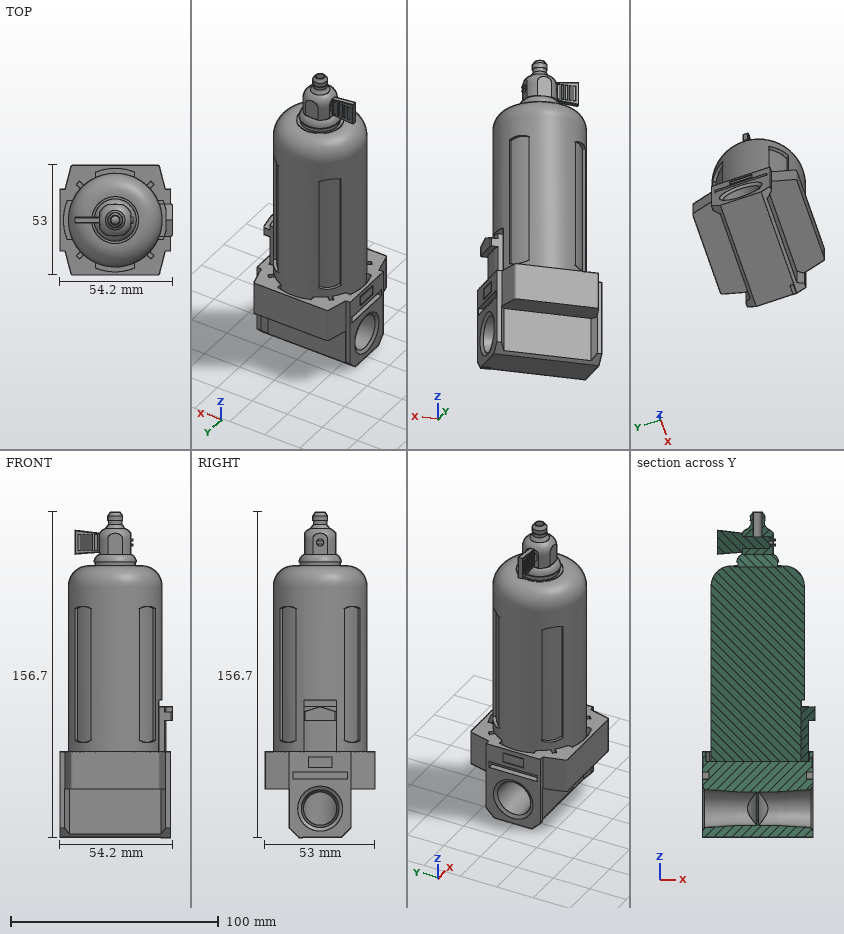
import cadquery as cq


head_half_length = 26.6
head_half_width = 14.9
wing_reach = 26.5
wing_root_half = 24.1
wing_tip_half = 21.2
wing_corner_radius = 1.3
head_bottom = 0.3
wing_bottom = 23.5
head_top = 41.5
bottom_chamfer = 4.5
side_pocket_depth = 3.0
side_pocket_half_root = 24.3
side_pocket_half_floor = 22.1

port_height = 14.1
port_mouth_radius = 10.8
port_radius = 9.1
port_cone_depth = 1.1
port_end_radius = 8.0
port_end_wall_radius = 9.4
port_end_wall_offset = 9.9

face_slot_width = 26.3
face_slot_height = 3.3
face_slot_depth = 3.1
face_slot_bottom = 28.4
label_width = 11.3
label_height = 5.0
label_depth = 0.3
label_bottom = 33.8

foot_mark_length = 4.7
foot_mark_width = 1.7
foot_mark_y = -9.2

socket_depth = 4.7
bayonet_radius = 24.9
bayonet_half_width = 9.4
key_reach = 25.4
key_width = 2.2

guard_radius = 22.5
guard_top = 131.0
guard_shoulder_radius = 9.9
window_bottom = 45.9
window_top = 111.4
window_half_width = 5.3
window_end_rise = 1.1
window_depth = 1.5
window_angles = (45, 135, 225, 315)
collar_pocket_radius = 11.3
collar_pocket_depth = 0.5
latch_flat_x = 20.8
latch_flat_top = 66.5
latch_flat_fillet = 1.0

latch_half_width = 7.8
latch_top = 63.2
latch_strip_x = 24.5
latch_corner_radius = 24.9
button_x = 27.6
button_bottom = 56.4
button_shoulder = 60.6
latch_chamfer = 0.6

collar_radius = 10.2
collar_neck_radius = 9.7
collar_neck_top = 132.7
collar_band_top = 133.2
collar_bulge_radius = 4.7
collar_top_radius = 7.7
collar_top = 136.5

knob_radius = 8.3
knob_flat = 7.5
knob_dome_start = 143.9
knob_dome_end = 148.9
knob_dome_end_radius = 4.7
nipple_neck_radius = 3.3
nipple_neck_start = 150.7
nipple_head_radius = 3.6
nipple_head_start = 152.6
nipple_head_end = 155.0
nipple_tip_radius = 2.4
overall_height = 156.7
nipple_bore_radius = 2.0

stem_height = 142.1
stem_radius = 2.8
stem_shoulder_x = 5.5
prong_radius = 1.7
prong_end_x = 8.6
prong_gap = 1.5
lever_end_x = -19.5
lever_half_thickness = 1.4
lever_end_bottom = 136.5
lever_end_top = 148.1
lever_root_bottom = 137.5
lever_root_top = 146.7
lever_chamfer = 0.3
lever_panel_length = 9.4
lever_panel_height = 7.5
lever_panel_x = -13.2
lever_panel_depth = 0.3
lever_rib_width = 1.0
lever_rib_pitch = 1.9
lever_rib_count = 4


def box(x0, x1, y0, y1, z0, z1):
    """Axis-aligned box between two opposite corners."""
    return cq.Workplane("XY").box(x1 - x0, y1 - y0, z1 - z0, centered=False).translate((x0, y0, z0))


def cylinder_x(radius, x0, x1, height):
    """Cylinder along X, with its axis over the bowl axis at the given height."""
    return cq.Workplane("YZ", origin=(x0, 0, height)).circle(radius).extrude(x1 - x0)


def cylinder_z(radius, z0, z1):
    """Cylinder on the bowl axis."""
    return cq.Workplane("XY").workplane(offset=z0).circle(radius).extrude(z1 - z0)


def make_port():
    """Void of the port on the -X face: countersink, taper and a rounded upright end wall."""
    wall_axis_x = -port_end_wall_offset
    profile = (
        cq.Workplane("XZ")
        .moveTo(-head_half_length, 0)
        .lineTo(-head_half_length, port_mouth_radius)
        .lineTo(-head_half_length + port_cone_depth, port_radius)
        .lineTo(wall_axis_x, port_end_radius)
        .lineTo(wall_axis_x, 0)
        .close()
    )
    tapered = profile.revolve(360, (0, 0), (1, 0)).translate((0, 0, port_height))
    end_wall = cylinder_z(
        port_end_wall_radius, port_height - port_end_radius, port_height + port_end_radius
    ).translate((wall_axis_x, 0, 0))
    end = cylinder_x(port_end_radius, wall_axis_x, 0, port_height).intersect(end_wall)
    return tapered.union(end)


def make_bayonet_recesses():
    """Recesses in the top of the head around the guard: four wide sectors and four keyways."""
    floor = head_top - socket_depth
    reach = bayonet_radius
    along_x = box(-reach, reach, -bayonet_half_width, bayonet_half_width, floor, head_top)
    sectors = along_x.union(along_x.rotate((0, 0, 0), (0, 0, 1), 90))
    sectors = sectors.intersect(cylinder_z(bayonet_radius, floor, head_top))
    keyway = box(-key_reach, key_reach, -key_width / 2, key_width / 2, floor, head_top)
    recesses = sectors.union(cylinder_z(guard_radius, floor, head_top))
    for angle in (45, 135):
        recesses = recesses.union(keyway.rotate((0, 0, 0), (0, 0, 1), angle))
    return recesses


def make_head():
    block = box(
        -head_half_length, head_half_length, -head_half_width, head_half_width, head_bottom, head_top
    )
    block = block.faces("<Z").edges("|X").chamfer(bottom_chamfer)

    pocket = (
        cq.Workplane("XY")
        .workplane(offset=head_bottom)
        .moveTo(-side_pocket_half_root, -head_half_width)
        .lineTo(side_pocket_half_root, -head_half_width)
        .lineTo(side_pocket_half_floor, -head_half_width + side_pocket_depth)
        .lineTo(-side_pocket_half_floor, -head_half_width + side_pocket_depth)
        .close()
        .extrude(wing_bottom - head_bottom)
    )
    block = block.cut(pocket).cut(pocket.mirror("XZ"))

    wings = (
        cq.Workplane("XY")
        .workplane(offset=wing_bottom)
        .polyline([
            (wing_tip_half, -wing_reach),
            (wing_root_half, -head_half_width),
            (wing_root_half, head_half_width),
            (wing_tip_half, wing_reach),
            (-wing_tip_half, wing_reach),
            (-wing_root_half, head_half_width),
            (-wing_root_half, -head_half_width),
            (-wing_tip_half, -wing_reach),
        ])
        .close()
        .extrude(head_top - wing_bottom)
    )
    wings = wings.faces("<Y or >Y").edges("|Z").fillet(wing_corner_radius)
    head = block.union(wings)

    port = make_port()
    head = head.cut(port).cut(port.mirror("YZ"))
    head = head.cut(make_bayonet_recesses())

    face_slot = box(
        -head_half_length, -head_half_length + face_slot_depth,
        -face_slot_width / 2, face_slot_width / 2,
        face_slot_bottom, face_slot_bottom + face_slot_height,
    )
    label = box(
        -head_half_length, -head_half_length + label_depth,
        -label_width / 2, label_width / 2,
        label_bottom, label_bottom + label_height,
    )
    for recess in (face_slot, label):
        head = head.cut(recess).cut(recess.mirror("YZ"))

    foot_mark = box(
        head_half_length - foot_mark_length, head_half_length,
        foot_mark_y - foot_mark_width / 2, foot_mark_y + foot_mark_width / 2,
        0, head_bottom,
    )
    return head.union(foot_mark)


def make_window():
    """Shallow curved recess on the +X side of the guard, with bulging ends."""
    straight_bottom = window_bottom + window_end_rise
    straight_top = window_top - window_end_rise
    outline = (
        cq.Workplane("YZ")
        .moveTo(-window_half_width, straight_bottom)
        .threePointArc((0, window_bottom), (window_half_width, straight_bottom))
        .lineTo(window_half_width, straight_top)
        .threePointArc((0, window_top), (-window_half_width, straight_top))
        .close()
        .extrude(guard_radius)
    )
    return outline.cut(cylinder_z(guard_radius - window_depth, window_bottom, window_top))


def make_guard():
    guard = cylinder_z(guard_radius, head_top - socket_depth, guard_top)
    guard = guard.faces(">Z").edges().fillet(guard_shoulder_radius)
    window = make_window()
    for angle in window_angles:
        guard = guard.cut(window.rotate((0, 0, 0), (0, 0, 1), angle))
    guard = guard.cut(cylinder_z(collar_pocket_radius, guard_top - collar_pocket_depth, guard_top))
    latch_flat = box(
        latch_flat_x, guard_radius, -latch_half_width, latch_half_width,
        head_top - socket_depth, latch_flat_top,
    )
    latch_flat = latch_flat.edges("<X and >Z").fillet(latch_flat_fillet)
    return guard.cut(latch_flat)


def make_latch():
    strip = box(
        latch_flat_x, latch_strip_x, -latch_half_width, latch_half_width, head_top - socket_depth, latch_top
    )
    strip = strip.intersect(cylinder_z(latch_corner_radius, head_top - socket_depth, latch_top))
    button = (
        cq.Workplane("YZ", origin=(latch_flat_x, 0, 0))
        .moveTo(-latch_half_width, button_bottom)
        .lineTo(latch_half_width, button_bottom)
        .lineTo(latch_half_width, button_shoulder)
        .lineTo(0, latch_top)
        .lineTo(-latch_half_width, button_shoulder)
        .close()
        .extrude(button_x - latch_flat_x)
        .faces(">X")
        .edges("|Z")
        .chamfer(latch_chamfer)
    )
    return strip.union(button)


def make_collar():
    return (
        cq.Workplane("XZ")
        .moveTo(0, guard_top - collar_pocket_depth)
        .lineTo(collar_neck_radius, guard_top - collar_pocket_depth)
        .lineTo(collar_neck_radius, collar_neck_top)
        .lineTo(collar_radius, collar_neck_top)
        .lineTo(collar_radius, collar_band_top)
        .radiusArc((collar_top_radius, collar_top), -collar_bulge_radius)
        .lineTo(0, collar_top)
        .close()
        .revolve(360, (0, 0), (0, 1))
    )


def make_stem(x_end):
    """Lever stem from the knob flat through the knob, with the prong part running to x_end."""
    stem = cylinder_x(stem_radius, -knob_flat, stem_shoulder_x, stem_height)
    return stem.union(cylinder_x(prong_radius, stem_shoulder_x, x_end, stem_height))


def make_knob():
    body = (
        cq.Workplane("XZ")
        .moveTo(0, collar_top)
        .lineTo(knob_radius, collar_top)
        .lineTo(knob_radius, knob_dome_start)
        .tangentArcPoint((knob_dome_end_radius, knob_dome_end), relative=False)
        .lineTo(nipple_neck_radius, nipple_neck_start)
        .lineTo(nipple_neck_radius, nipple_head_start)
        .lineTo(nipple_head_radius, nipple_head_start)
        .lineTo(nipple_head_radius, nipple_head_end)
        .lineTo(nipple_tip_radius, overall_height)
        .lineTo(0, overall_height)
        .close()
        .revolve(360, (0, 0), (0, 1))
    )
    flats = box(-knob_flat, knob_flat, -knob_flat, knob_flat, collar_top, overall_height)
    bore = cylinder_z(nipple_bore_radius, stem_height, overall_height)
    return body.intersect(flats).cut(bore).cut(make_stem(knob_flat))


def make_lever():
    handle = (
        cq.Workplane("XZ", origin=(0, lever_half_thickness, 0))
        .moveTo(lever_end_x, lever_end_bottom)
        .lineTo(-knob_flat, lever_root_bottom)
        .lineTo(-knob_flat, lever_root_top)
        .lineTo(lever_end_x, lever_end_top)
        .close()
        .extrude(2 * lever_half_thickness)
        .faces("<Y or >Y")
        .edges()
        .chamfer(lever_chamfer)
    )
    panel_floor = lever_half_thickness - lever_panel_depth
    panel = box(
        lever_panel_x - lever_panel_length / 2, lever_panel_x + lever_panel_length / 2,
        panel_floor, lever_half_thickness,
        stem_height - lever_panel_height / 2, stem_height + lever_panel_height / 2,
    )
    for index in range(lever_rib_count):
        rib_x = lever_panel_x + (index - (lever_rib_count - 1) / 2) * lever_rib_pitch
        panel = panel.cut(box(
            rib_x - lever_rib_width / 2, rib_x + lever_rib_width / 2,
            panel_floor, lever_half_thickness,
            stem_height - lever_panel_height / 2, stem_height + lever_panel_height / 2,
        ))
    handle = handle.cut(panel).cut(panel.mirror("XZ"))
    gap = box(
        stem_shoulder_x, prong_end_x, -prong_radius, prong_radius,
        stem_height - prong_gap / 2, stem_height + prong_gap / 2,
    )
    return handle.union(make_stem(prong_end_x).cut(gap))


head = make_head()
guard = make_guard()
latch = make_latch()
collar = make_collar()
knob = make_knob()
lever = make_lever()

result = cq.Compound.makeCompound([
    head.solids().val(),
    guard.solids().val(),
    latch.solids().val(),
    collar.solids().val(),
    knob.solids().val(),
    lever.solids().val(),
])